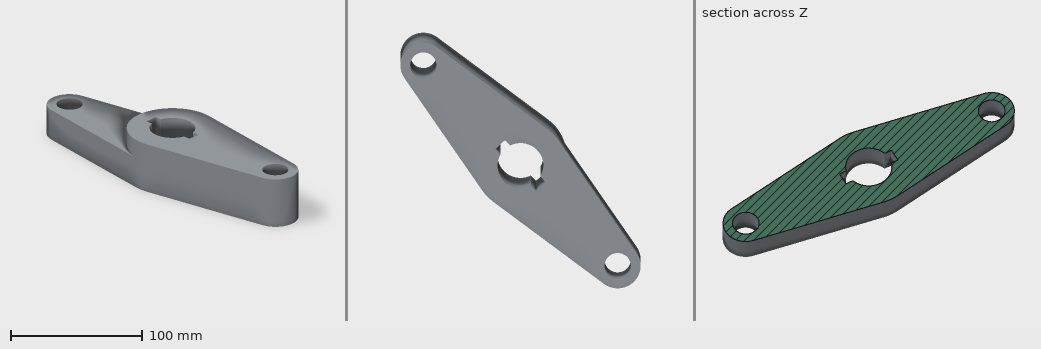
import cadquery as cq
import math

overall_length = 250.0
hub_radius = 35.0
end_radius = 17.5
full_height = 40.0
low_arm_height = 25.0
pin_hole_diameter = 20.0
bore_diameter = 35.0
keyway_span = 45.0
keyway_width = 10.0

arm_reach = overall_length / 2 - end_radius


def tapered_arm(direction, height):
    """Hub joined to a smaller round end by tangent sides; direction is +1 or -1 along X."""
    tangent_cos = (hub_radius - end_radius) / arm_reach
    tangent_sin = math.sqrt(1 - tangent_cos**2)
    hub_x = direction * hub_radius * tangent_cos
    hub_y = hub_radius * tangent_sin
    end_x = direction * (arm_reach + end_radius * tangent_cos)
    end_y = end_radius * tangent_sin
    return (
        cq.Workplane("XY")
        .moveTo(hub_x, hub_y)
        .lineTo(end_x, end_y)
        .threePointArc((direction * overall_length / 2, 0), (end_x, -end_y))
        .lineTo(hub_x, -hub_y)
        .threePointArc((-direction * hub_radius, 0), (hub_x, hub_y))
        .close()
        .extrude(height)
    )


body = tapered_arm(1, full_height).union(tapered_arm(-1, low_arm_height))

pin_holes = (
    cq.Workplane("XY")
    .pushPoints([(-arm_reach, 0), (arm_reach, 0)])
    .circle(pin_hole_diameter / 2)
    .extrude(full_height)
)

bore = cq.Workplane("XY").circle(bore_diameter / 2).extrude(full_height)
keyways = cq.Workplane("XY").rect(keyway_span, keyway_width).extrude(full_height)

result = body.cut(pin_holes).cut(bore.union(keyways))